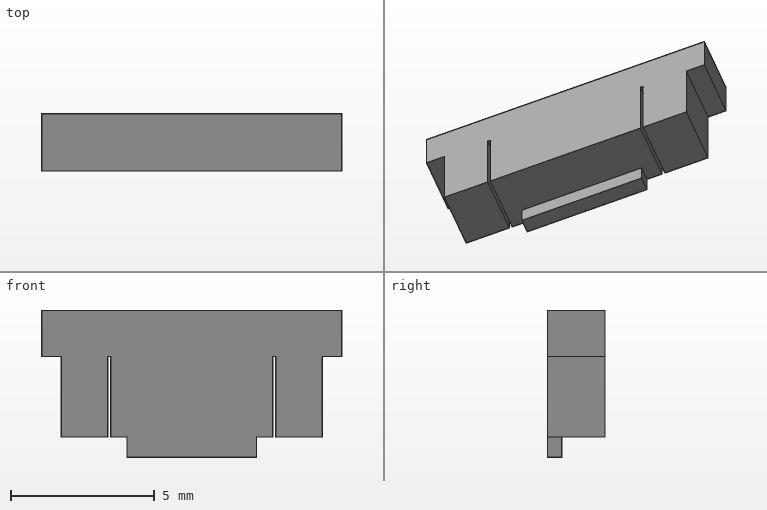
import cadquery as cq

head_length = 10.43
thickness = 2.0
head_height = 1.6

body_length = 9.08
body_height = 2.8
centre_length = 5.63
slot_width = 0.1

tongue_length = 4.5
tongue_thickness = 0.5
tongue_height = 0.7

body_bottom = tongue_height
head_bottom = body_bottom + body_height


def block(length, depth, height, bottom):
    """Block centred on X = 0, with its front face at Y = -thickness / 2."""
    front = -thickness / 2
    return (
        cq.Workplane("XY")
        .box(length, depth, height, centered=(True, False, False))
        .translate((0, front, bottom))
    )


def slot(side):
    """Through slot beside the centre block; side is -1 or +1 along X."""
    slot_x = side * (centre_length + slot_width) / 2
    return block(slot_width, thickness, body_height, body_bottom).translate((slot_x, 0, 0))


head = block(head_length, thickness, head_height, head_bottom)
body = block(body_length, thickness, body_height, body_bottom)
tongue = block(tongue_length, tongue_thickness, tongue_height, 0)

for side in (-1, 1):
    body = body.cut(slot(side))

result = head.union(body).union(tongue)